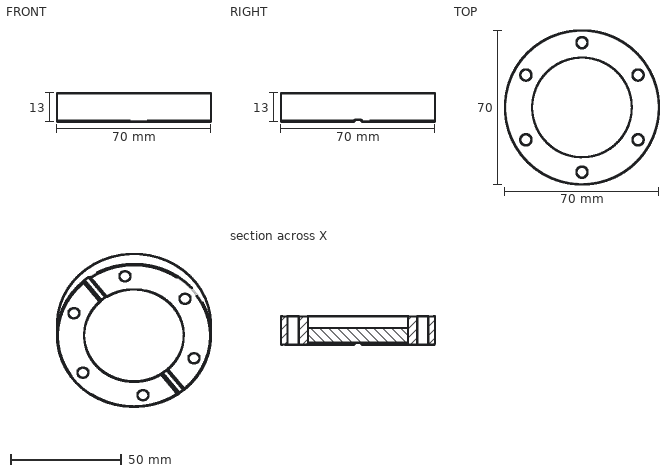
import cadquery as cq

flange_diameter = 70.0
flange_height = 13.0
edge_radius = 0.5

bolt_count = 6
bolt_circle_diameter = 58.7
bolt_hole_diameter = 5.0
first_bolt_angle = 90.0

groove_mouth_width = 4.0
groove_depth = 0.85
groove_roof_width = groove_mouth_width - 2 * groove_depth

window_diameter = 45.2
recess_depth = 5.4
window_thickness = flange_height - recess_depth - groove_depth


def make_groove_cutter():
    """Trapezoidal bar along X, open at the bottom face and at both rims."""
    return (
        cq.Workplane("YZ")
        .moveTo(-groove_mouth_width / 2, 0)
        .lineTo(groove_mouth_width / 2, 0)
        .lineTo(groove_roof_width / 2, groove_depth)
        .lineTo(-groove_roof_width / 2, groove_depth)
        .close()
        .extrude(flange_diameter / 2, both=True)
    )


def make_bolt_holes():
    """Through holes evenly spaced on the bolt circle."""
    return (
        cq.Workplane("XY")
        .polarArray(bolt_circle_diameter / 2, first_bolt_angle, 360, bolt_count)
        .circle(bolt_hole_diameter / 2)
        .extrude(flange_height)
    )


def make_flange():
    """Round-edged ring with a plain bore, bolt holes and the underside groove."""
    blank = (
        cq.Workplane("XY")
        .circle(flange_diameter / 2)
        .extrude(flange_height)
        .edges()
        .fillet(edge_radius)
    )
    bore = cq.Workplane("XY").circle(window_diameter / 2).extrude(flange_height)
    return blank.cut(bore).cut(make_bolt_holes()).cut(make_groove_cutter())


def make_window():
    """Plain disc that fills the bore from the groove roof to the recess floor."""
    return (
        cq.Workplane("XY")
        .workplane(offset=groove_depth)
        .circle(window_diameter / 2)
        .extrude(window_thickness)
    )


flange = make_flange()
window = make_window()

result = cq.Compound.makeCompound([flange.solids().val(), window.val()])